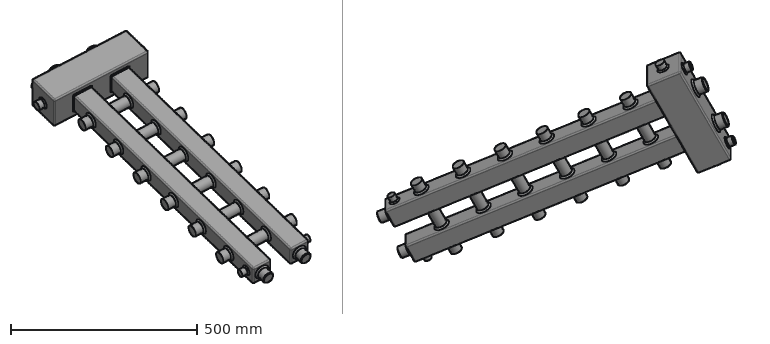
import cadquery as cq

total_length = 975.0

box_size = 101.0
box_width = 315.0
box_edge_radius = 4.5

bar_size = 60.0
bar_pitch = 125.0
bar_edge_radius = 4.5
bar_weld_leg = 3.0
bead_bevel = 2.9

inlet_diameter = 42.0
circuit_diameter = 34.0
box_vent_diameter = 26.5
bar_vent_diameter = 22.0
stub_length = 30.0
vent_length = 21.0
stub_weld_leg = 5.0
vent_weld_leg = 4.0
tip_chamfer = 2.0

circuit_count = 6
circuit_pitch = 125.0
first_circuit_from_box = 79.0
bar_vent_from_end = 30.0
box_vent_spread = 264.0

box_front_x = -total_length / 2 + stub_length
box_center_x = box_front_x + box_size / 2
box_back_x = box_front_x + box_size
bar_end_x = total_length / 2 - stub_length
bar_length = bar_end_x - box_back_x
bar_gap = bar_pitch - bar_size
bar_outer_y = (bar_pitch + bar_size) / 2
bar_inner_y = bar_gap / 2

PLUS_X = (1, 0, 0)
MINUS_X = (-1, 0, 0)


def header_box():
    """Square block along Y with every edge rounded."""
    box = cq.Workplane("XY").box(box_size, box_width, box_size)
    box = box.edges().fillet(box_edge_radius)
    return box.translate((box_center_x, 0, 0))


def bar(center_y):
    """Square bar along X, rooted in the box, with a weld bead at the root."""
    body = cq.Workplane("YZ").rect(bar_size, bar_size).extrude(bar_length)
    body = body.edges("|X or >X").fillet(bar_edge_radius)
    bead_size = bar_size + 2 * bar_weld_leg
    bead = cq.Workplane("YZ").rect(bead_size, bead_size).extrude(bar_weld_leg)
    bead = bead.edges("|X").fillet(bar_edge_radius + bar_weld_leg)
    bead = bead.faces(">X").edges().chamfer(bead_bevel)
    return body.union(bead).translate((box_back_x, center_y, 0))


def stub(base, direction, diameter, length, weld_leg, chamfer=0.0):
    """Round stub standing on a face, with a conical weld bead around its root."""
    radius = diameter / 2
    profile = (
        cq.Workplane("XZ")
        .lineTo(radius + weld_leg, 0)
        .lineTo(radius, weld_leg)
        .lineTo(radius, length - chamfer)
    )
    if chamfer:
        profile = profile.lineTo(radius - chamfer, length)
    profile = profile.lineTo(0, length).close()
    plane = cq.Plane(origin=base, xDir=(0, 0, 1), normal=direction)
    turned = profile.revolve(360, (0, 0, 0), (0, 1, 0))
    return turned.val().moved(cq.Location(plane))


def box_stubs():
    """Inlets and vents on the front face of the box, and a vent on each end."""
    stubs = []
    for side in (-1, 1):
        inlet_base = (box_front_x, side * bar_pitch / 2, 0)
        stubs.append(stub(inlet_base, MINUS_X, inlet_diameter, stub_length, stub_weld_leg, tip_chamfer))
        vent_base = (box_front_x, side * box_vent_spread / 2, 0)
        stubs.append(stub(vent_base, MINUS_X, box_vent_diameter, vent_length, vent_weld_leg, tip_chamfer))
        end_base = (box_center_x, side * box_width / 2, 0)
        stubs.append(stub(end_base, (0, side, 0), box_vent_diameter, vent_length, vent_weld_leg))
    return stubs


def bar_stubs():
    """Circuit stubs on both sides of each bar, an outer vent and an end stub."""
    stubs = []
    for side in (-1, 1):
        outward = (0, side, 0)
        inward = (0, -side, 0)
        for index in range(circuit_count):
            x = box_back_x + first_circuit_from_box + index * circuit_pitch
            outer_base = (x, side * bar_outer_y, 0)
            stubs.append(stub(outer_base, outward, circuit_diameter, stub_length, stub_weld_leg))
            inner_base = (x, side * bar_inner_y, 0)
            stubs.append(stub(inner_base, inward, circuit_diameter, bar_gap / 2, stub_weld_leg))
        vent_base = (bar_end_x - bar_vent_from_end, side * bar_outer_y, 0)
        stubs.append(stub(vent_base, outward, bar_vent_diameter, vent_length, vent_weld_leg))
        end_base = (bar_end_x, side * bar_pitch / 2, 0)
        stubs.append(stub(end_base, PLUS_X, circuit_diameter, stub_length, stub_weld_leg, tip_chamfer))
    return stubs


result = header_box()
for side in (-1, 1):
    result = result.union(bar(side * bar_pitch / 2))
for pipe in box_stubs() + bar_stubs():
    result = result.union(cq.Workplane(pipe))